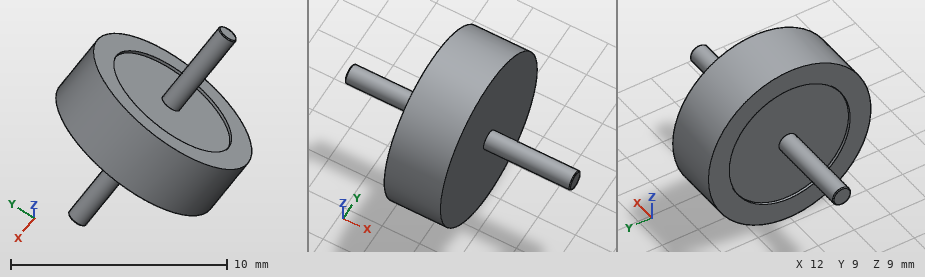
import cadquery as cq

pin_length = 12.0
pin_diameter = 1.0
pin_chamfer = 0.05

disc_diameter = 9.0
disc_width = 3.0
left_pin_exposed = 4.39
disc_left = -pin_length / 2 + left_pin_exposed

recess_diameter = 6.7
recess_depth = 0.15


def x_cylinder(start, length, diameter):
    """Cylinder on the X axis, from start towards +X."""
    return cq.Workplane("YZ", origin=(start, 0, 0)).circle(diameter / 2).extrude(length)


disc = x_cylinder(disc_left, disc_width, disc_diameter)
recess = x_cylinder(disc_left, recess_depth, recess_diameter)
pin = x_cylinder(-pin_length / 2, pin_length, pin_diameter).edges().chamfer(pin_chamfer)

result = disc.cut(recess).union(pin)